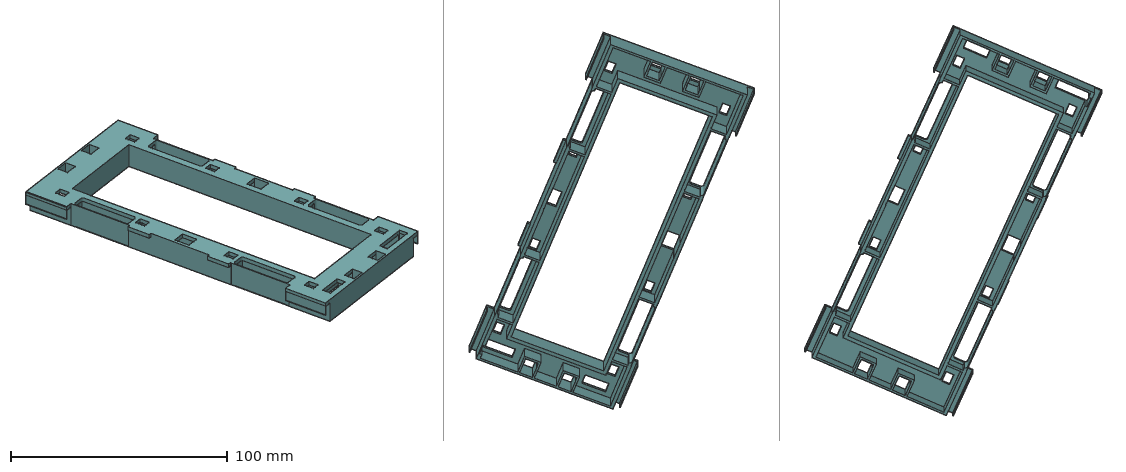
import cadquery as cq

length = 168.0
body_width = 67.8
plate_width = 75.0
height = 12.0
plate_thickness = 2.0
side_wall = 1.7
end_wall = 1.0
opening_length = 135.7
opening_width = 45.8

flange_inner_x = 61.6
short_flange_inner_x = 61.1
skirt_depth = 6.7
skirt_thickness = 0.5
short_skirt_drop = 0.2
tab_inner_x = 16.3
tab_outer_x = 28.2
tab_width = 70.5

slot_inner_x = 29.5
slot_outer_x = 59.8
slot_width = 6.9
slot_corner_radius = 1.2
slot_panel_thickness = 0.5
panel_recess = 0.08
pin_hole_length = 5.0
pin_hole_width = 3.9
pin_hole_xs = (24.9, 69.7)
pin_hole_y = 28.4
side_hole_length = 7.9
side_hole_width = 6.2
side_hole_y = 29.2
end_hole_length = 5.4
end_hole_width = 6.4
end_hole_x = 80.3
end_hole_y = 9.5
end_slot_inner_x = 76.5
end_slot_outer_x = 81.0
end_slot_spans = ((17.3, 33.5), (-29.0, -17.3))

rib_thickness = 1.0
rib_inner_x = 28.7
rib_outer_x = 61.1
end_box_inner_x = 75.5
end_box_inner_width = 6.2

underside_z = height - plate_thickness


def block(x_range, y_range, z_range):
    """Box between the given limits, each listed in either order."""
    (x0, x1), (y0, y1), (z0, z1) = map(sorted, (x_range, y_range, z_range))
    return cq.Workplane("XY").box(x1 - x0, y1 - y0, z1 - z0, centered=False).translate((x0, y0, z0))


def centred_block(size_x, size_y, z_range):
    """Box centred on the Z axis."""
    return block((-size_x / 2, size_x / 2), (-size_y / 2, size_y / 2), z_range)


def mirrored_points(x, y):
    """The four reflections of a point about the X and Y axes."""
    return [(sx * x, sy * y) for sx in (-1, 1) for sy in (-1, 1)]


def window(size_x, size_y, centres):
    """Rectangular cutters through the full height."""
    return cq.Workplane("XY").pushPoints(centres).rect(size_x, size_y).extrude(height)


def make_hollow_body():
    """Rectangular ring, open underneath, with outer and inner walls."""
    body = centred_block(length, body_width, (0, height))
    cavity = centred_block(length - 2 * end_wall, body_width - 2 * side_wall, (0, underside_z))
    core = centred_block(opening_length + 2 * side_wall, opening_width + 2 * side_wall, (0, underside_z))
    opening = centred_block(opening_length, opening_width, (0, height))
    return body.cut(cavity.cut(core)).cut(opening)


def make_slot_ribs(side_x, side_y):
    """Pair of cross ribs joining the long walls at the two ends of a slot."""
    y_range = (side_y * (opening_width + side_wall) / 2, side_y * (body_width - side_wall) / 2)
    inner_rib = block((side_x * (rib_inner_x - rib_thickness), side_x * rib_inner_x), y_range, (0, height))
    outer_rib = block((side_x * rib_outer_x, side_x * (rib_outer_x + rib_thickness)), y_range, (0, height))
    return inner_rib.union(outer_rib)


def make_panel_recess(side_x, side_y):
    """Shallow full-height cutter that sets back the outer face beside a slot."""
    outer_y = body_width / 2
    return block(
        (side_x * rib_inner_x, side_x * rib_outer_x),
        (side_y * (outer_y - panel_recess), side_y * outer_y),
        (0, height),
    )


def make_end_box(side_x, side_y):
    """Three-sided box below an end hole, closed by the end wall."""
    half_width = end_box_inner_width / 2
    y_near = side_y * end_hole_y - half_width
    y_far = side_y * end_hole_y + half_width
    wall_x = side_x * (length / 2 - end_wall / 2)
    outer = block(
        (side_x * (end_box_inner_x - rib_thickness), wall_x),
        (y_near - rib_thickness, y_far + rib_thickness),
        (0, height),
    )
    inner = block((side_x * end_box_inner_x, wall_x), (y_near, y_far), (0, height))
    return outer.cut(inner)


def make_corner_flange(side_x, side_y):
    """Overhanging plate corner with a thin skirt hanging from its edge."""
    end_x = side_x * length / 2
    edge_y = side_y * plate_width / 2
    skirt_y = side_y * (plate_width / 2 - skirt_thickness)
    is_short = side_x < 0 and side_y < 0
    inner_x = side_x * (short_flange_inner_x if is_short else flange_inner_x)
    skirt_top = height - (short_skirt_drop if is_short else 0)
    plate = block((inner_x, end_x), (side_y * (body_width - side_wall) / 2, skirt_y), (underside_z, height))
    skirt = block((inner_x, end_x), (skirt_y, edge_y), (height - skirt_depth, skirt_top))
    return plate.union(skirt)


def make_edge_tab(side_x, side_y):
    """Small plate tab on a long side."""
    return block(
        (side_x * tab_inner_x, side_x * tab_outer_x),
        (side_y * (body_width - side_wall) / 2, side_y * tab_width / 2),
        (underside_z, height),
    )


def make_windows():
    """All cutters through the top plate and the walls below it."""
    slot_x = (slot_inner_x + slot_outer_x) / 2
    slot_y = body_width / 2 - slot_panel_thickness - slot_width / 2
    slots = window(slot_outer_x - slot_inner_x, slot_width, mirrored_points(slot_x, slot_y))
    cutters = slots.edges("|Z").fillet(slot_corner_radius)
    for pin_hole_x in pin_hole_xs:
        pin_holes = mirrored_points(pin_hole_x, pin_hole_y)
        cutters = cutters.union(window(pin_hole_length, pin_hole_width, pin_holes))
    side_holes = [(0, -side_hole_y), (0, side_hole_y)]
    cutters = cutters.union(window(side_hole_length, side_hole_width, side_holes))
    end_holes = mirrored_points(end_hole_x, end_hole_y)
    cutters = cutters.union(window(end_hole_length, end_hole_width, end_holes))
    for span in end_slot_spans:
        end_slot = block((end_slot_inner_x, end_slot_outer_x), span, (0, height))
        cutters = cutters.union(end_slot)
    return cutters


result = make_hollow_body()
for side_x in (-1, 1):
    for side_y in (-1, 1):
        result = result.union(make_corner_flange(side_x, side_y))
        result = result.union(make_edge_tab(side_x, side_y))
        result = result.union(make_slot_ribs(side_x, side_y))
        result = result.union(make_end_box(side_x, side_y))
        result = result.cut(make_panel_recess(side_x, side_y))
result = result.cut(make_windows())